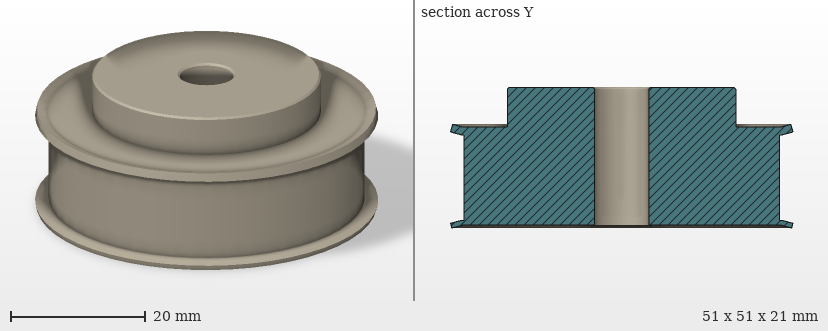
import cadquery as cq
import math

total_height = 21.0
flange_radius = 25.5
drum_radius = 23.5
hub_radius = 17.0
bore_radius = 4.0
edge_chamfer = 0.3

bend_radius = 23.8
lip_angle = math.radians(15)
top_flange_thickness = 1.25
bottom_flange_thickness = 0.8
top_rim_height = 15.5

lip_rise = (flange_radius - bend_radius) * math.tan(lip_angle)


def rim_height(thickness):
    """Height of the lip's highest edge above the belt face."""
    return lip_rise + thickness * math.cos(lip_angle)


def flange(thickness):
    """Dished disc with its belt face at Z = 0 and its lip bent towards +Z."""
    rim_top_radius = flange_radius - thickness * math.sin(lip_angle)
    outer_bend_radius = bend_radius - thickness * math.tan(lip_angle / 2)
    return (
        cq.Workplane("XZ")
        .moveTo(0, 0)
        .lineTo(bend_radius, 0)
        .lineTo(flange_radius, lip_rise)
        .lineTo(rim_top_radius, rim_height(thickness))
        .lineTo(outer_bend_radius, thickness)
        .lineTo(0, thickness)
        .close()
        .revolve(360, (0, 0, 0), (0, 1, 0))
    )


def cylinder(radius, bottom, top):
    return cq.Workplane("XY").workplane(offset=bottom).circle(radius).extrude(top - bottom)


bottom_belt_face = rim_height(bottom_flange_thickness)
top_belt_face = top_rim_height - rim_height(top_flange_thickness)

drum = cylinder(drum_radius, bottom_belt_face, top_belt_face)
hub = cylinder(hub_radius, top_belt_face, total_height).faces(">Z").chamfer(edge_chamfer)
top_flange = flange(top_flange_thickness).translate((0, 0, top_belt_face))
bottom_flange = (
    flange(bottom_flange_thickness)
    .mirror("XY")
    .translate((0, 0, bottom_belt_face))
)
body = drum.union(bottom_flange).union(top_flange).union(hub)

bored = body.cut(cylinder(bore_radius, 0, total_height))
bore_edge = bored.faces(">Z").edges(cq.selectors.RadiusNthSelector(0))
result = bore_edge.chamfer(edge_chamfer)